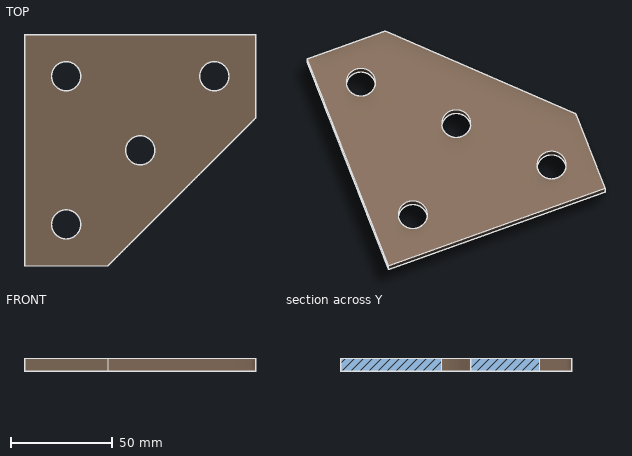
import cadquery as cq

side = 114.3
thickness = 6.4
end_width = 41.1
hole_diameter = 14.3

hole_inset = end_width / 2
near = hole_inset
far = side - hole_inset
middle = side / 2

plate = (
    cq.Workplane("XY")
    .moveTo(0, 0)
    .lineTo(end_width, 0)
    .lineTo(side, side - end_width)
    .lineTo(side, side)
    .lineTo(0, side)
    .close()
    .extrude(thickness)
)

hole_centers = [(near, near), (near, far), (far, far), (middle, middle)]
result = (
    plate.faces(">Z")
    .workplane(origin=(0, 0, thickness))
    .pushPoints(hole_centers)
    .hole(hole_diameter)
)